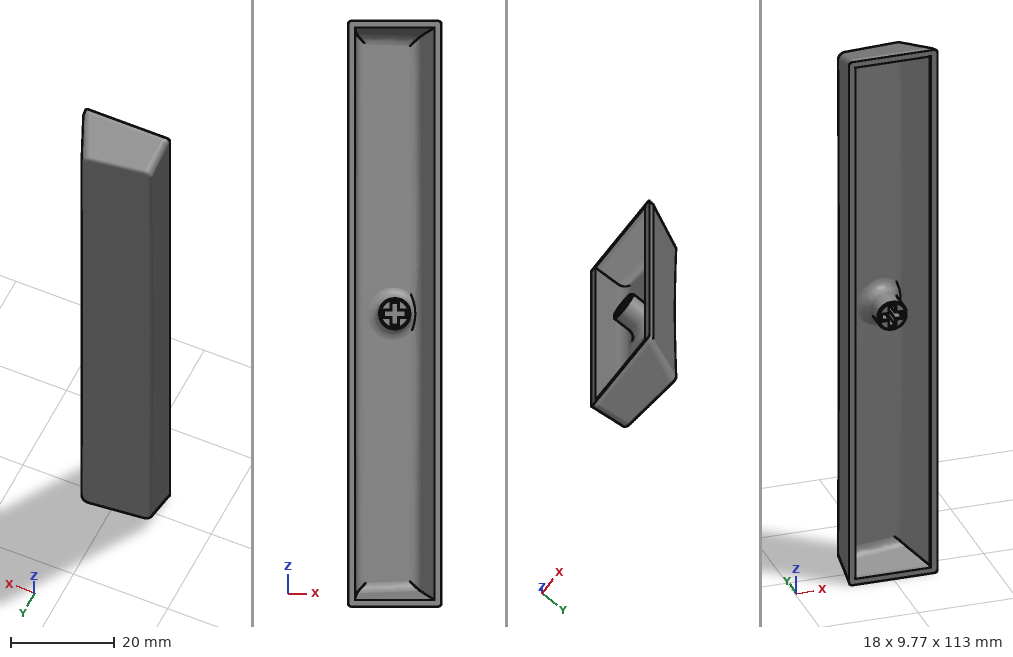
import cadquery as cq
import math

DEPTH = 18.0
LENGTH = 113.0
HEIGHT = 9.86

LIP_HEIGHT = 1.0
FRONT_LEAN = 0.04
BACK_LEAN = 0.42
END_LEAN = 0.25
RIM_CORNER_RADIUS = 0.7
LIP_CORNER_RADIUS = 1.3
TOP_CORNER_RADIUS = 1.75
TRIM_ALLOWANCE = 1.5
LOFT_HEIGHT = HEIGHT + TRIM_ALLOWANCE

TOP_TILT = 7.0
DISH_SAG = 0.55
TOP_EDGE_RADIUS = 0.7

RIM_WIDTH = 1.3
ROOF_THICKNESS = 1.5
WALL_THICKENING = 0.045
CAVITY_FILLET = 2.0

STEM_RADIUS = 3.0
STEM_RECESS = 0.6
STEM_ROOT_FILLET = 2.0
CROSS_LENGTH = 4.15
CROSS_WIDTH = 1.2
STEM_CHAMFER = 0.24

PICK_MARGIN = 0.1

BACK_TOP_X = DEPTH / 2 - BACK_LEAN * (HEIGHT - LIP_HEIGHT)
END_TOP_Z = LENGTH / 2 - END_LEAN * (HEIGHT - LIP_HEIGHT)


def section(height, inset, radius=0):
    """Rectangle at a given height, inset on all sides, with rounded corners if a radius is given."""
    lean = max(height - LIP_HEIGHT, 0)
    front = -DEPTH / 2 + inset + FRONT_LEAN * lean
    back = DEPTH / 2 - inset - BACK_LEAN * lean
    half_length = LENGTH / 2 - inset - END_LEAN * lean
    sketch = cq.Sketch().rect(back - front, 2 * half_length)
    if radius:
        sketch = sketch.vertices().fillet(radius)
    plane = cq.Plane(origin=((front + back) / 2, height, 0), xDir=(1, 0, 0), normal=(0, 1, 0))
    return cq.Workplane(plane).placeSketch(sketch)._getFaces()[0].outerWire()


def loft(lower, upper):
    return cq.Workplane(cq.Solid.makeLoft([lower, upper], True))


def space_above_dish(drop):
    """Block whose underside is the dished top surface, lowered by drop."""
    reach = LENGTH
    block_height = 3 * HEIGHT
    tilt = math.radians(TOP_TILT)
    plane = cq.Plane(
        origin=(BACK_TOP_X, HEIGHT - drop, 0),
        xDir=(0, 0, -1),
        normal=(math.cos(tilt), math.sin(tilt), 0),
    )
    end_rise = DISH_SAG * ((reach / END_TOP_Z) ** 2 - 1)
    return (
        cq.Workplane(plane)
        .moveTo(-reach, end_rise)
        .threePointArc((0, -DISH_SAG), (reach, end_rise))
        .lineTo(reach, block_height)
        .lineTo(-reach, block_height)
        .close()
        .extrude(2 * DEPTH, both=True)
    )


def outer_body():
    """Solid keycap with a straight lip, leaning walls and a rounded edge around the dish."""
    lip = loft(section(0, 0, RIM_CORNER_RADIUS), section(LIP_HEIGHT, 0, LIP_CORNER_RADIUS))
    walls = loft(
        section(LIP_HEIGHT, 0, LIP_CORNER_RADIUS),
        section(LOFT_HEIGHT, 0, TOP_CORNER_RADIUS),
    )
    body = lip.union(walls).cut(space_above_dish(0))
    return body.faces(">Y").edges().fillet(TOP_EDGE_RADIUS)


def cavity():
    """Sharp-cornered hollow, open at the rim and rounded where its walls meet the roof."""
    top_inset = RIM_WIDTH + WALL_THICKENING * (LOFT_HEIGHT - LIP_HEIGHT)
    lip = loft(section(0, RIM_WIDTH), section(LIP_HEIGHT, RIM_WIDTH))
    walls = loft(section(LIP_HEIGHT, RIM_WIDTH), section(LOFT_HEIGHT, top_inset))
    hollow = lip.union(walls).cut(space_above_dish(ROOF_THICKNESS))
    return hollow.faces(">Y").edges().fillet(CAVITY_FILLET)


def root_edges(body):
    """Edges where the stem meets the roof of the cavity."""
    reach = STEM_RADIUS + PICK_MARGIN
    low = (-reach, HEIGHT / 2, -reach)
    high = (reach, HEIGHT, reach)
    return body.edges(cq.selectors.BoxSelector(low, high, boundingbox=True))


def stem_and_roof():
    """Round post with a flared root, joined to all the material above the underside of the roof."""
    roof = space_above_dish(ROOF_THICKNESS)
    post = cq.Workplane("XZ", origin=(0, STEM_RECESS, 0)).circle(STEM_RADIUS).extrude(-HEIGHT)
    joined = roof.union(post)
    return root_edges(joined).fillet(STEM_ROOT_FILLET)


def cross_socket():
    """Cross-shaped hole through the stem, ending at the underside of the roof."""
    bars = cq.Sketch().rect(CROSS_LENGTH, CROSS_WIDTH).rect(CROSS_WIDTH, CROSS_LENGTH).clean()
    mouth = cq.Workplane("XZ", origin=(0, STEM_RECESS, 0))
    return mouth.placeSketch(bars).extrude(-HEIGHT).cut(space_above_dish(ROOF_THICKNESS))


def mouth_face(body):
    """Flat end of the stem, just inside the rim."""
    reach = STEM_RADIUS + PICK_MARGIN
    low = (-reach, STEM_RECESS - PICK_MARGIN, -reach)
    high = (reach, STEM_RECESS + PICK_MARGIN, reach)
    return body.faces(cq.selectors.BoxSelector(low, high, boundingbox=True))


body = outer_body()
shell = body.cut(cavity())
capped = shell.union(body.intersect(stem_and_roof()))
socketed = capped.cut(cross_socket())
result = mouth_face(socketed).chamfer(STEM_CHAMFER)